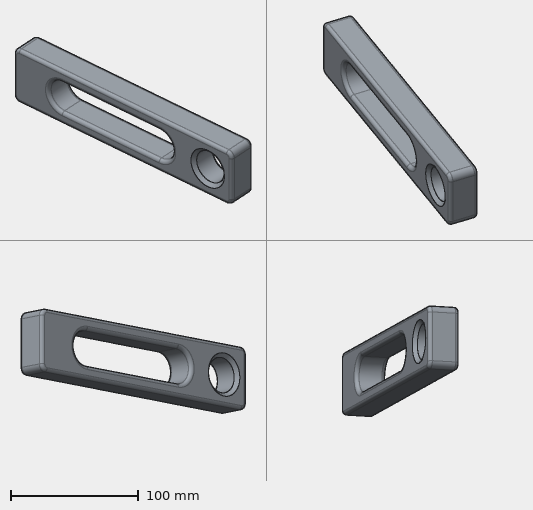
import cadquery as cq

length = 225.0
thickness = 25.0
height = 50.0
corner_radius = 5.6
edge_radius = 3.0

opening_width = 28.1
rim_size = 3.2
slot_start_inset = height
slot_centre_distance = 100.0
hole_inset = height / 2

slot_centre_x = -length / 2 + slot_start_inset + slot_centre_distance / 2
hole_centre_x = length / 2 - hole_inset


def make_bar():
    """Block with rounded corners and rounded front and back outlines."""
    block = cq.Workplane("XY").box(length, thickness, height)
    block = block.edges("|Y").fillet(corner_radius)
    return block.faces("<Y or >Y").edges().fillet(edge_radius)


def make_slot_cutter():
    """Straight slot with round ends."""
    slot_length = slot_centre_distance + opening_width
    profile = cq.Workplane("XZ").center(slot_centre_x, 0).slot2D(slot_length, opening_width)
    return profile.extrude(thickness, both=True)


def make_hole_cutter():
    """Straight round hole."""
    profile = cq.Workplane("XZ").center(hole_centre_x, 0).circle(opening_width / 2)
    return profile.extrude(thickness, both=True)


def rim_edges(bar, side, centre_x):
    """Edges around the opening nearest to centre_x in one face of the bar."""
    wires = bar.faces(side).val().innerWires()
    rim = min(wires, key=lambda wire: abs(wire.Center().x - centre_x))
    return bar.newObject(rim.Edges())


bar = make_bar().cut(make_slot_cutter()).cut(make_hole_cutter())

for side in ("<Y", ">Y"):
    bar = rim_edges(bar, side, slot_centre_x).fillet(rim_size)
    bar = rim_edges(bar, side, hole_centre_x).chamfer(rim_size)

result = bar